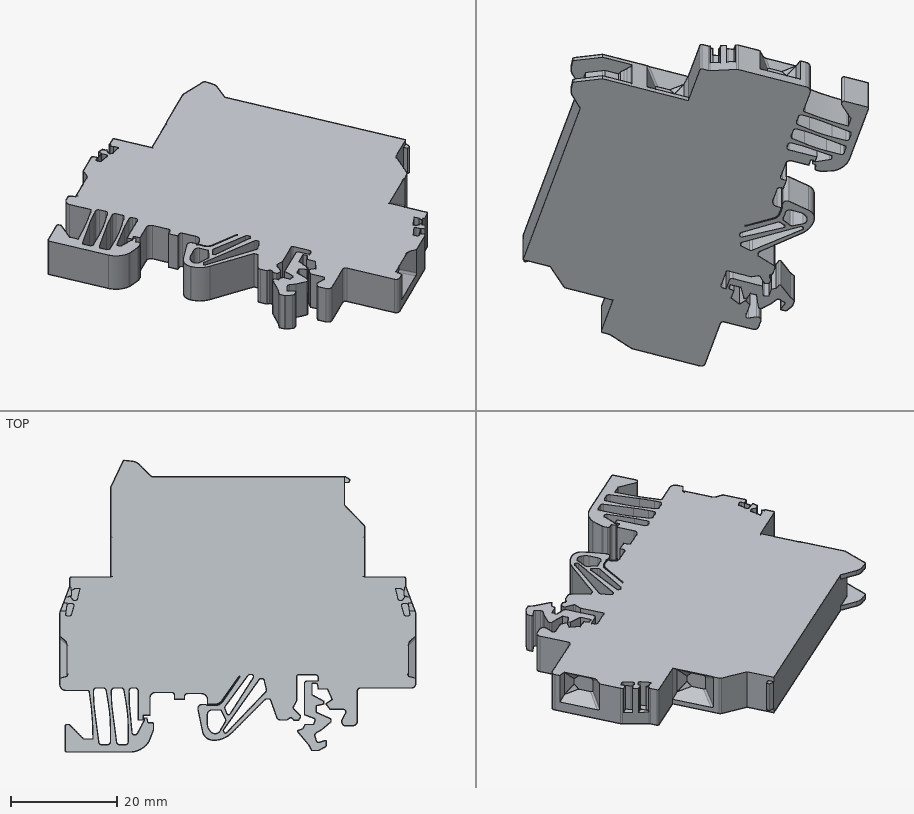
import cadquery as cq
import math

LENGTH = 67.0
HEIGHT = 54.95
THICKNESS = 8.1
END_X = LENGTH / 2

SHOULDER_Y = 32.95
SHOULDER_X = 31.6
SLANT_BOTTOM_Y = 26.25
SLANT_TOP_Y = 31.2
SLANT_RADIUS = 1.0
SHOULDER_RADIUS = 0.35

HOUSING_X = 23.9
HOUSING_TOP_Y = 51.85
EAR_BOTTOM_Y = 49.85
EAR_TIP_X = -21.45
EAR_END_X = -16.2
RECESS_WALL_X = -21.2
RAMP_END_Y = 44.0
STEP_X = 20.1
STEP_Y = 46.5
STEP_BOTTOM_Y = 42.55
CHEEK = 1.0

END_BOTTOM_Y = 12.05
CLIP_END_BOTTOM_Y = 11.6
FOOT_X = -32.5
FOOT_POCKET_Y = 2.5
RIB_PITCH = 3.35
SLOT_TOP_Y = 12.05
BAY_X = -16.5
BAY_TOP_Y = 11.2
BAY_RIB_TOP_Y = 11.0
SPRING_ROOT_X = -5.7
HOOK_RADIUS = 4.2
LOOP_RADIUS = 4.2 / 2
EYE_RADIUS = 3.2 / 2

END_FUNNEL_Y = 13.9
END_FUNNEL_WIDTH = 8.0
END_FUNNEL_FLOOR_Z = 3.95
HOUSING_FUNNEL_WIDTH = 8.2
HOUSING_FUNNEL_FLOOR_Z = 2.95
FUNNEL_DEPTH = 2.7
FUNNEL_LIP_DEPTH = 1.35
FUNNEL_FLOOR_START = 1.9
FUNNEL_FLOOR_WIDTH = 3.75
FUNNEL_FLOOR_HEIGHT = 3.1
FUNNEL_FLARE_DOWN = 1.9
FUNNEL_FLARE_UP = 2.15
FUNNEL_LIP_DRAFT = 0.4
FUNNEL_CORNER = 0.95
FUNNEL_EDGE_RADIUS = 0.55

NOTCH_FLOOR_Z = 2.55
KEYWAY_FLOOR_Z = 2.75


def rounded_outline(corners):
    """Closed wire through (x, y) or (x, y, radius) corners; a radius gives a tangent arc."""
    stretches = []
    for index, corner in enumerate(corners):
        x, y = corner[:2]
        if len(corner) == 2:
            stretches.append([(x, y)])
            continue
        radius = corner[2]
        before = corners[index - 1]
        after = corners[(index + 1) % len(corners)]
        angle_in = math.atan2(before[1] - y, before[0] - x)
        angle_out = math.atan2(after[1] - y, after[0] - x)
        half = math.remainder(angle_out - angle_in, 2 * math.pi) / 2
        middle = angle_in + half
        setback = radius / math.tan(abs(half))
        reach = radius / math.sin(abs(half)) - radius
        stretches.append([
            (x + setback * math.cos(angle_in), y + setback * math.sin(angle_in)),
            (x + reach * math.cos(middle), y + reach * math.sin(middle)),
            (x + setback * math.cos(angle_out), y + setback * math.sin(angle_out)),
        ])
    path = cq.Workplane("XY").moveTo(*stretches[0][-1])
    for stretch in stretches[1:] + stretches[:1]:
        path = path.lineTo(*stretch[0])
        if len(stretch) == 3:
            path = path.threePointArc(stretch[1], stretch[2])
    return path.close()


def prism(corners, bottom, top):
    """Upright prism of a rounded outline between two Z levels."""
    return rounded_outline(corners).extrude(top - bottom).translate((0, 0, bottom))


def both_ends(tool):
    """A tool at the -X end together with its mirror image at the +X end."""
    return tool.union(tool.mirror("YZ"))


def clip_foot():
    """Hooked foot hanging on thin ribs, ending at the stop leg beside it."""
    return [
        (-END_X, CLIP_END_BOTTOM_Y, 1.15),
        (-28.0, CLIP_END_BOTTOM_Y, 0.3),
        (-27.3, 7.0, 53.6),
        (-27.3, FOOT_POCKET_Y),
        (-29.0, FOOT_POCKET_Y),
        (-31.7, 5.2, 0.2),
        (FOOT_X, 5.2, 0.4),
        (FOOT_X, 0, 0.35),
        (-18.1, 0, HOOK_RADIUS),
        (-16.7, 2.0, 0.35),
        (-15.8, 4.2, 0.55),
        (-15.8, 5.55, 0.35),
        (-16.9, 5.55, 0.2),
        (-17.1, 6.4, 0.15),
        (-17.6, 6.4),
        (-17.6, 5.95),
        (-19.0, 3.3, 0.5),
        (-19.8, 3.3, 0.4),
        (-20.4, 8.9),
        (-20.45, SLOT_TOP_Y, 0.55),
        (-18.75, SLOT_TOP_Y, 0.55),
        (-18.75, 6.0),
        (-17.75, 6.0),
        (-17.75, 6.9),
        (BAY_X, 6.9),
    ]


def bay():
    """Open bay with a short stop between the clip foot and the spring."""
    return [
        (BAY_X, BAY_TOP_Y, 0.95),
        (-11.9, BAY_TOP_Y, 0.5),
        (-11.9, 9.9),
        (-10.0, 9.9),
        (-10.0, BAY_RIB_TOP_Y, 0.5),
        (SPRING_ROOT_X, BAY_RIB_TOP_Y, 1.15),
    ]


def spring_loop():
    """Narrow slit behind the spring and the outer contour of its loop."""
    return [
        (SPRING_ROOT_X, 9.0),
        (-3.5, 9.0, 1.7),
        (0.3, 14.3),
        (0.4, 14.2),
        (-3.35, 8.8, 1.9),
        (-5.75, 8.8),
        (-5.95, 9.0),
        (-7.7, 9.0, 0.8),
        (-6.3, 2.2, LOOP_RADIUS),
        (-2.55, 2.2, 4.7),
        (5.2, 10.0, 0.2),
        (6.1, 10.0, 0.2),
    ]


def catch_leg():
    """Rigid leg between the spring and the latch arm."""
    return [
        (7.5, 6.0, 0.75),
        (9.3, 6.0),
        (9.8, 6.4),
        (10.2, 6.4),
        (10.6, 5.95, 0.2),
        (11.45, 5.95, 0.35),
        (11.9, 6.8, 0.4),
        (10.4, 8.3, 0.35),
        (11.1, 9.7),
        (11.1, 14.55, 0.3),
        (15.15, 14.55, 0.55),
        (15.15, 13.4),
    ]


def latch_arm():
    """Zigzag arm with a hooked end."""
    return [
        (12.5, 13.4, 0.55),
        (12.5, 7.05),
        (14.6, 6.2, 0.3),
        (14.3, 5.2),
        (12.65, 5.2),
        (12.25, 4.4),
        (11.1, 4.0, 0.2),
        (13.4, 1.3),
        (13.95, 0.3, 0.2),
        (15.15, 0.3),
        (16.7, 1.1, 0.6),
        (16.7, 2.3, 0.2),
        (14.95, 1.75, 0.35),
        (14.4, 3.4, 0.55),
        (15.8, 4.2),
        (17.6, 5.75, 0.35),
        (17.5, 6.3, 0.2),
        (14.8, 7.5),
        (14.8, 8.7),
        (16.2, 9.05),
        (16.2, 9.6),
        (14.0, 10.8),
        (14.0, 12.9),
        (14.95, 12.9, 0.3),
    ]


def end_leg():
    """Leg with a retaining lip under the +X terminal."""
    return [
        (15.15, 11.85),
        (16.9, 11.85),
        (17.75, 9.9),
        (16.55, 9.1, 0.2),
        (17.35, 8.05),
        (20.65, 8.05, 0.5),
        (19.4, 5.75, 0.6),
        (19.9, 4.95, 0.4),
        (22.5, 4.95, 0.9),
        (22.5, END_BOTTOM_Y, 0.6),
        (END_X, END_BOTTOM_Y, 0.8),
    ]


def shoulder(side):
    """Terminal shoulder from the end face up to the housing; side is -1 or 1."""
    return [
        (side * END_X, SLANT_BOTTOM_Y, SLANT_RADIUS),
        (side * SHOULDER_X, SLANT_TOP_Y, SLANT_RADIUS),
        (side * SHOULDER_X, SHOULDER_Y, SHOULDER_RADIUS),
        (side * HOUSING_X, SHOULDER_Y),
    ]


def housing():
    """Upper housing, from the stepped +X wall to the ear at -X."""
    return [
        (HOUSING_X, STEP_BOTTOM_Y, 0.7),
        (STEP_X, STEP_Y),
        (STEP_X, HOUSING_TOP_Y),
        (EAR_END_X, HOUSING_TOP_Y),
        (-19.1, 54.7, 2.1),
        (EAR_TIP_X, HEIGHT),
        (EAR_TIP_X - 0.2, HEIGHT - 0.3),
        (-HOUSING_X, EAR_BOTTOM_Y),
    ]


def body():
    lower_edge = clip_foot() + bay() + spring_loop() + catch_leg() + latch_arm() + end_leg()
    upper_edge = shoulder(1) + housing() + shoulder(-1)[::-1]
    return prism(lower_edge + upper_edge, 0, THICKNESS)


def rib_slots():
    """Two equal slots that leave the thin ribs of the clip foot."""
    slot = [
        (-27.15, SLOT_TOP_Y, 0.55),
        (-24.85, SLOT_TOP_Y, 0.55),
        (-24.0, 7.0, 26.8),
        (-24.0, 1.4, 0.55),
        (-26.05, 1.4, 0.55),
        (-27.1, 9.05, 26.8),
    ]
    first = prism(slot, 0, THICKNESS)
    return first.union(first.translate((RIB_PITCH, 0, 0)))


def spring_openings():
    """Eye of the spring loop and the two slots between the spring's legs."""
    eye = [
        (-5.7, 7.9, 0.8),
        (-3.15, 7.9, 0.2),
        (-2.2, 5.95, 0.6),
        (-4.15, 2.6, 1.1),
        (-5.7, 4.7, EYE_RADIUS),
    ]
    inner_slot = [
        (2.1, 14.6, 0.5),
        (3.3, 14.6, 0.4),
        (-1.8, 6.6, 0.35),
        (-2.5, 8.45, 0.6),
    ]
    outer_slot = [
        (4.15, 13.8, 0.3),
        (4.9, 13.8, 0.35),
        (5.4, 11.5, 0.55),
        (-2.35, 3.4, 0.3),
        (-2.75, 4.1, 0.35),
    ]
    eye_cut = prism(eye, 0, THICKNESS)
    return eye_cut.union(prism(inner_slot, 0, THICKNESS)).union(prism(outer_slot, 0, THICKNESS))


def ear_recess():
    """Space between the two cheeks of the ear, with a faceted ramp at its lower end."""
    clear_x = -HOUSING_X - 0.7
    clear_y = HEIGHT + 0.7
    recess = [
        (clear_x, RAMP_END_Y),
        (-HOUSING_X, RAMP_END_Y),
        (-23.5, 44.15),
        (-22.8, 44.7),
        (-22.3, 45.1),
        (-21.7, 45.6),
        (RECESS_WALL_X, 45.8),
        (RECESS_WALL_X, 48.5),
        (-21.0, 49.0),
        (-19.6, HOUSING_TOP_Y),
        (EAR_END_X, HOUSING_TOP_Y),
        (EAR_END_X, clear_y),
        (clear_x, clear_y),
    ]
    return prism(recess, CHEEK, THICKNESS - CHEEK)


def housing_lip():
    """Small catch at the upper +X corner of the housing."""
    root_x = STEP_X - 0.7
    lip_bottom_y = HOUSING_TOP_Y - 1.15
    lip = [
        (root_x, HOUSING_TOP_Y),
        (STEP_X + 0.15, HOUSING_TOP_Y),
        (21.2, 51.25, 0.2),
        (20.9, lip_bottom_y),
        (root_x, lip_bottom_y),
    ]
    return prism(lip, CHEEK, THICKNESS - CHEEK)


def tetrahedron(points):
    """Solid with four given corner points."""
    vectors = [cq.Vector(*point) for point in points]
    faces = []
    for skipped in range(4):
        triangle = vectors[:skipped] + vectors[skipped + 1:]
        faces.append(cq.Face.makeFromWires(cq.Wire.makePolygon(triangle, close=True)))
    return cq.Workplane(cq.Solid.makeSolid(cq.Shell.makeShell(faces)))


def funnel(wall_x, edge_y, floor_z, width):
    """Funnel cut into the -X wall; it opens over width upwards from edge_y."""
    floor_x = wall_x + FUNNEL_DEPTH
    lip_x = wall_x + FUNNEL_LIP_DEPTH
    floor_y = edge_y + FUNNEL_FLOOR_START
    floor_top_y = floor_y + FUNNEL_FLOOR_WIDTH
    floor_top_z = floor_z + FUNNEL_FLOOR_HEIGHT
    open_z = floor_z - FUNNEL_FLARE_DOWN
    open_top_z = floor_top_z + FUNNEL_FLARE_UP
    plan = [
        (wall_x, edge_y),
        (lip_x, edge_y + FUNNEL_LIP_DRAFT),
        (floor_x, floor_y),
        (floor_x, floor_top_y),
        (wall_x, edge_y + width),
    ]
    section = [
        (wall_x, open_z),
        (floor_x, floor_z),
        (floor_x, floor_top_z),
        (wall_x, open_top_z),
    ]
    tool = prism(plan, open_z, open_top_z)
    side = cq.Workplane("XZ").polyline(section).close().extrude(-HEIGHT)
    tool = tool.intersect(side)

    upper_wall_y = (edge_y + width + floor_top_y) / 2
    middle_x = (wall_x + floor_x) / 2
    for z in ((open_z + floor_z) / 2, (open_top_z + floor_top_z) / 2):
        edge = cq.selectors.NearestToPointSelector((middle_x, upper_wall_y, z))
        tool = tool.edges(edge).fillet(FUNNEL_EDGE_RADIUS)

    lip_share = 1 - FUNNEL_LIP_DEPTH / FUNNEL_DEPTH
    corners = (
        (floor_z, floor_z - lip_share * FUNNEL_FLARE_DOWN, 1),
        (floor_top_z, floor_top_z + lip_share * FUNNEL_FLARE_UP, -1),
    )
    for corner_z, lip_z, inward in corners:
        facet = tetrahedron([
            (floor_x, floor_y, corner_z),
            (floor_x, floor_y + FUNNEL_CORNER, corner_z),
            (floor_x, floor_y, corner_z + inward * FUNNEL_CORNER),
            (lip_x, edge_y + FUNNEL_LIP_DRAFT, lip_z),
        ])
        tool = tool.cut(facet)
    return tool


def notch(corners):
    """Notch open at its first and last corner, with a floor rising inwards."""
    outer_x = min(x for x, y in corners)
    inner_x = max(x for x, y in corners)
    section = [
        (outer_x, NOTCH_FLOOR_Z),
        (inner_x, KEYWAY_FLOOR_Z),
        (inner_x, THICKNESS),
        (outer_x, THICKNESS),
    ]
    side = cq.Workplane("XZ").polyline(section).close().extrude(-HEIGHT)
    return prism(corners, NOTCH_FLOOR_Z, THICKNESS).intersect(side)


def shoulder_notches():
    """Two latch notches open to the slanted face, each running into a keyway."""
    upper_notch = [(-32.55, 31.1), (-31.35, 31.0), (-31.3, 29.5), (-31.9, 29.2), (-32.95, 29.2)]
    lower_notch = [(-33.65, 28.35), (-32.1, 28.0), (-32.3, 26.6), (-33.65, 26.6)]
    upper_keyway = [
        (-31.4, 30.35, 0.3),
        (-30.7, 30.75),
        (-29.7, 30.75),
        (-30.2, 28.55, 0.4),
        (-30.95, 28.55, 0.4),
        (-31.6, 29.5),
    ]
    lower_keyway = [
        (-32.1, 27.95, 0.35),
        (-30.7, 27.95, 0.35),
        (-31.35, 25.65, 0.3),
        (-32.4, 25.65, 0.3),
    ]
    tool = notch(upper_notch).union(notch(lower_notch))
    for keyway in (upper_keyway, lower_keyway):
        tool = tool.union(prism(keyway, KEYWAY_FLOOR_Z, THICKNESS))
    return tool


result = body()
result = result.cut(rib_slots()).cut(spring_openings())
result = result.cut(ear_recess()).union(housing_lip())
result = result.cut(both_ends(funnel(-END_X, END_FUNNEL_Y, END_FUNNEL_FLOOR_Z, END_FUNNEL_WIDTH)))
result = result.cut(both_ends(funnel(-HOUSING_X, SHOULDER_Y, HOUSING_FUNNEL_FLOOR_Z, HOUSING_FUNNEL_WIDTH)))
result = result.cut(both_ends(shoulder_notches()))